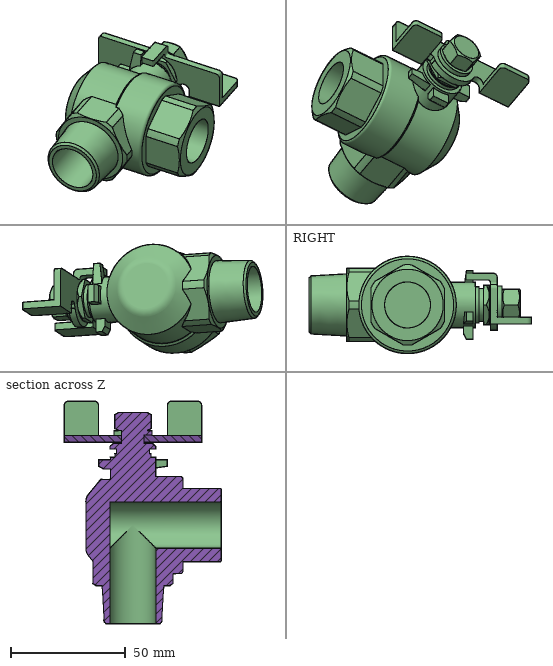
import cadquery as cq
import math


shell_radius = 20.1
shell_nose_x = -20.6
shell_cone_x = -14.0
nose_radius = 12.0
nose_fillet = 5.0
collar_radius = 21.2
collar_start_x = 4.9
collar_end_x = 21.8
collar_chamfer = 1.0
collar_fillet = 1.3

port_hex_flats = 32.0
port_hex_corner_radius = 17.6
port_chamfer_angle = 30
inlet_chamfer = 1.2
outlet_chamfer = 1.0
inlet_end_x = 38.5
outlet_hex_end_y = -26.5

spigot_root_radius = 13.6
spigot_tip_radius = 12.7
spigot_end_y = -43.0
spigot_chamfer = 1.0
passage_diameter = 20.0

neck_diameter = 20.0
neck_top_y = 29.6
step_diameter = 15.9
step_top_y = 31.1
gland_diameter = 14.5
packing_nut_bottom_y = 33.1
packing_nut_top_y = 35.6
packing_nut_flats = 17.4
packing_nut_chamfer = 1.4
packing_nut_chamfer_angle = 45
stem_diameter = 10.0
washer_diameter = 16.7
washer_thickness = 2.0
washer_slit = 0.3
top_nut_top_y = 49.1
top_nut_flats = 13.9
top_nut_chamfer = 1.0
top_nut_chamfer_angle = 30

lug_reach = 14.9
lug_top_y = 28.5
lug_tip_y = 25.6
lug_root_y = 24.3
plain_lug_half_width = 3.9
plain_lug_bevel_reach = 12.6
stop_face_offset = 3.1
stop_lug_tip_side = 7.0
stop_lug_root_side = 8.4
stop_lug_root_z = 4.9
stop_lug_flat_z = 6.3

plate_thickness = 3.0
plate_front_y = 36.1
plate_back_y = plate_front_y + plate_thickness
wing_half_span = 30.0
wing_top_z = 8.9
wing_bottom_z = -8.3
wing_corner_radius = 1.9
grip_width = 15.0
grip_end_y = 54.0
hub_radius = 11.1
relief_slot_radius = 2.5
relief_slot_top_z = -2.5
hook_width = 5.9
hook_top_z = 13.9
hook_end_y = 25.5
hook_bend_radius = 1.9
hook_inner_bend_radius = 1.3
hook_root_fillet = 1.0
hook_end_fillet = 0.6

overlap = 1.0


def corner_to_corner(flats):
    """Width over the corners of a hexagon, from its width across flats."""
    return flats / math.cos(math.radians(30))


def cylinder_y(diameter, start_y, end_y):
    """Solid cylinder on the Y axis."""
    plane = cq.Workplane("XZ", origin=(0, start_y, 0))
    return plane.circle(diameter / 2).extrude(start_y - end_y)


def chamfered_cylinder_x(radius, length, chamfer, angle, both_ends=False):
    """Cylinder from the origin along +X with a conical far end, or two conical ends."""
    end_radius = radius - chamfer / math.tan(math.radians(angle))
    outline = [(0, 0), (0, radius)]
    if both_ends:
        outline = [(0, 0), (0, end_radius), (chamfer, radius)]
    outline += [(length - chamfer, radius), (length, end_radius), (length, 0)]
    return cq.Workplane("XY").polyline(outline).close().revolve(360, (0, 0, 0), (1, 0, 0))


def hexagon_x(flats, corner_radius, length, chamfer, angle, both_ends=False):
    """Hexagon along +X with flats facing +Y and -Y and its corners trimmed by a chamfered cylinder."""
    prism = cq.Workplane("YZ").polygon(6, corner_to_corner(flats)).extrude(length)
    prism = prism.rotate((0, 0, 0), (1, 0, 0), 90)
    return prism.intersect(chamfered_cylinder_x(corner_radius, length, chamfer, angle, both_ends))


def hexagon_y(flats, corner_radius, length, chamfer, angle, both_ends=False):
    """Hexagon from the origin along +Y with flats facing +Z and -Z."""
    hexagon = hexagon_x(flats, corner_radius, length, chamfer, angle, both_ends)
    hexagon = hexagon.rotate((0, 0, 0), (1, 0, 0), 90)
    return hexagon.rotate((0, 0, 0), (0, 0, 1), 90)


def make_shell():
    """Turned housing: flat nose, cone, barrel and raised collar."""
    outline = [
        (shell_nose_x, 0),
        (shell_nose_x, nose_radius),
        (shell_cone_x, shell_radius),
        (collar_end_x, shell_radius),
        (collar_end_x, 0),
    ]
    shell = cq.Workplane("XY").polyline(outline).close().revolve(360, (0, 0, 0), (1, 0, 0))
    shell = shell.faces("<X").edges().fillet(nose_fillet)
    collar = cq.Workplane("YZ", origin=(collar_start_x, 0, 0)).circle(collar_radius)
    collar = collar.extrude(collar_end_x - collar_start_x)
    collar = collar.faces("<X").edges().chamfer(collar_chamfer)
    collar = collar.faces(">X").edges().fillet(collar_fillet)
    return shell.union(collar)


def make_inlet():
    """Hexagonal port along +X."""
    start_x = collar_end_x - overlap
    port = hexagon_x(
        port_hex_flats, port_hex_corner_radius, inlet_end_x - start_x, inlet_chamfer, port_chamfer_angle
    )
    return port.translate((start_x, 0, 0))


def make_outlet():
    """Hexagonal port along -Y with a tapered spigot."""
    port = hexagon_y(
        port_hex_flats, port_hex_corner_radius, -outlet_hex_end_y, outlet_chamfer, port_chamfer_angle
    )
    port = port.rotate((0, 0, 0), (0, 0, 1), 180)
    spigot_outline = [
        (0, 0),
        (0, spigot_root_radius),
        (outlet_hex_end_y, spigot_root_radius),
        (spigot_end_y + spigot_chamfer, spigot_tip_radius),
        (spigot_end_y, spigot_tip_radius - spigot_chamfer),
        (spigot_end_y, 0),
    ]
    spigot = cq.Workplane("YZ").polyline(spigot_outline).close().revolve(360, (0, 0, 0), (1, 0, 0))
    return port.union(spigot)


def make_passage():
    """Angled flow passage from the inlet end to the outlet end."""
    inlet_bore = cq.Workplane("YZ", origin=(-passage_diameter / 2, 0, 0)).circle(passage_diameter / 2)
    inlet_bore = inlet_bore.extrude(inlet_end_x + passage_diameter / 2)
    return inlet_bore.union(cylinder_y(passage_diameter, spigot_end_y, 0))


def make_stem_column():
    """Neck, gland, packing nut, stem, slit washer and top nut."""
    neck_root_y = shell_radius / 2 + overlap
    neck = cylinder_y(neck_diameter, neck_root_y, neck_top_y)
    step = cylinder_y(step_diameter, neck_top_y - overlap, step_top_y)
    gland = cylinder_y(gland_diameter, neck_top_y - overlap, packing_nut_top_y - overlap)
    packing_nut = hexagon_y(
        packing_nut_flats,
        corner_to_corner(packing_nut_flats) / 2,
        packing_nut_top_y - packing_nut_bottom_y,
        packing_nut_chamfer,
        packing_nut_chamfer_angle,
    )
    packing_nut = packing_nut.translate((0, packing_nut_bottom_y, 0))
    washer_top_y = plate_back_y + washer_thickness
    stem = cylinder_y(stem_diameter, packing_nut_top_y - overlap, top_nut_top_y - overlap)
    washer = cylinder_y(washer_diameter, plate_back_y, washer_top_y)
    slit = cq.Workplane("XY").box(
        washer_diameter / 2, washer_thickness, washer_slit, centered=(False, False, True)
    )
    slit = slit.translate((-washer_diameter / 2, plate_back_y, 0))
    top_nut = hexagon_y(
        top_nut_flats,
        corner_to_corner(top_nut_flats) / 2,
        top_nut_top_y - washer_top_y,
        top_nut_chamfer,
        top_nut_chamfer_angle,
        both_ends=True,
    )
    top_nut = top_nut.translate((0, washer_top_y, 0))
    column = neck.union(step).union(gland).union(packing_nut).union(washer.cut(slit))
    return column.union(stem).union(top_nut)


def swap_x_and_z(lug):
    """Mirror image of a lug in the diagonal plane between the X and Z axes."""
    return lug.rotate((0, 0, 0), (0, 1, 0), 90).mirror("XY")


def make_plain_lug():
    """Lug towards -X with a bevelled tip."""
    outline = [
        (0, lug_top_y),
        (-lug_reach, lug_top_y),
        (-lug_reach, lug_tip_y),
        (-plain_lug_bevel_reach, lug_root_y),
        (0, lug_root_y),
    ]
    lug = cq.Workplane("XY").polyline(outline).close()
    return lug.extrude(plain_lug_half_width, both=True)


def make_stop_lug():
    """Lug towards +Z whose flat side stops the hook of the handle."""
    front = [
        (-stop_face_offset, 0),
        (-stop_face_offset, lug_reach),
        (-stop_lug_tip_side, lug_reach),
        (-stop_lug_root_side, stop_lug_root_z),
        (-stop_lug_root_z, 0),
    ]
    side = [
        (lug_top_y, 0),
        (lug_top_y, lug_reach),
        (lug_tip_y, lug_reach),
        (lug_root_y, stop_lug_flat_z),
        (lug_root_y, 0),
    ]
    front_prism = cq.Workplane("XZ").polyline(front).close().extrude(-lug_top_y)
    side_prism = cq.Workplane("YZ").polyline(side).close().extrude(-neck_diameter)
    return front_prism.intersect(side_prism)


def make_valve():
    """Housing with ports, stop lugs and stem column."""
    valve = make_shell().union(make_inlet()).union(make_outlet()).union(make_stem_column())
    for lug in (make_plain_lug(), make_stop_lug()):
        valve = valve.union(lug).union(swap_x_and_z(lug))
    return valve.cut(make_passage())


def make_grip(side):
    """Finger grip bent back from the lower edge of one wing; side is -1 or +1."""
    inner_x = wing_half_span - grip_width
    grip = cq.Workplane("XY").box(
        grip_width, grip_end_y - plate_front_y, plate_thickness, centered=False
    ).translate((inner_x, plate_front_y, wing_bottom_z))
    grip = grip.edges("|Z and >Y").fillet(wing_corner_radius)
    return grip if side > 0 else grip.mirror("YZ")


def make_hook():
    """Tongue rising from the plate and bent forward over the packing nut."""
    inner_z = hook_top_z - plate_thickness
    side = [
        (plate_back_y, 0),
        (plate_back_y, hook_top_z),
        (hook_end_y, hook_top_z),
        (hook_end_y, inner_z),
        (plate_front_y, inner_z),
        (plate_front_y, 0),
    ]
    hook = cq.Workplane("YZ").polyline(side).close().extrude(hook_width / 2, both=True)
    hook = hook.edges("|X and >Y and >Z").fillet(hook_bend_radius)
    inner_corner = cq.selectors.NearestToPointSelector((0, plate_front_y, inner_z))
    hook = hook.edges("|X").edges(inner_corner).fillet(hook_inner_bend_radius)
    return hook.edges("|Z and <Y").fillet(hook_end_fillet)


def make_hook_root():
    """Block with a rounded hollow on either side, blending the hook into the wings."""
    block = cq.Workplane("XZ", origin=(0, plate_front_y, 0))
    block = block.center(0, wing_top_z).rect(hook_width + 2 * hook_root_fillet, 2 * hook_root_fillet)
    block = block.extrude(-plate_thickness)
    hollow = cylinder_y(2 * hook_root_fillet, plate_front_y, plate_back_y)
    hollow_x = hook_width / 2 + hook_root_fillet
    for x in (-hollow_x, hollow_x):
        block = block.cut(hollow.translate((x, 0, wing_top_z + hook_root_fillet)))
    return block


def make_handle():
    """Butterfly handle with two grips, a round hub and a stop hook."""
    plane = cq.Workplane("XZ", origin=(0, plate_front_y, 0))
    wing_height = wing_top_z - wing_bottom_z
    wings = plane.center(0, wing_bottom_z + wing_height / 2).rect(2 * wing_half_span, wing_height)
    wings = wings.extrude(-plate_thickness).edges("|Y and >Z").fillet(wing_corner_radius)
    inner_x = wing_half_span - grip_width
    slot_center_z = relief_slot_top_z - relief_slot_radius
    hub = plane.circle(hub_radius).extrude(-plate_thickness)
    hub_limit = plane.center(0, -hub_radius).rect(2 * hub_radius, 2 * hub_radius)
    hub = hub.intersect(hub_limit.extrude(-plate_thickness))
    for side in (-1, 1):
        slot_center_x = side * (inner_x - relief_slot_radius)
        slot_round = plane.center(slot_center_x, slot_center_z).circle(relief_slot_radius)
        wings = wings.cut(slot_round.extrude(-plate_thickness))
    gap = plane.center(0, wing_bottom_z).rect(2 * inner_x, 2 * (slot_center_z - wing_bottom_z))
    wings = wings.cut(gap.extrude(-plate_thickness))
    handle = wings.union(hub).union(make_hook())
    handle = handle.union(make_hook_root()).union(make_grip(-1)).union(make_grip(1))
    return handle.cut(cylinder_y(stem_diameter, plate_front_y, plate_back_y))


valve = make_valve()
handle = make_handle()
result = cq.Compound.makeCompound([valve.val(), handle.val()])